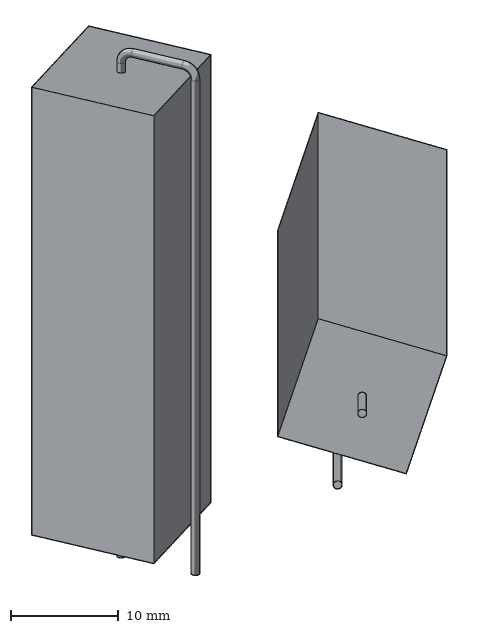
import cadquery as cq
import math

body_width = 12.5
body_height = 48.0

wire_diameter = 0.8
lead_pitch = 7.6
bend_radius = 1.2
lead_length = 4.0
total_height = 54.6

lead_end_z = -lead_length
wire_top_z = total_height - lead_length - wire_diameter / 2
bend_start_z = wire_top_z - bend_radius
bend_offset = bend_radius * math.sqrt(0.5)
bend_mid_z = bend_start_z + bend_offset


def make_body():
    """Upright square block with its underside on the XY plane."""
    return cq.Workplane("XY").box(body_width, body_width, body_height, centered=(True, True, False))


def make_wire():
    """Axial lead that leaves the top, bends over and returns beside the body."""
    first_bend_x = bend_radius
    second_bend_x = lead_pitch - bend_radius
    path = (
        cq.Workplane("XZ")
        .moveTo(0, lead_end_z)
        .lineTo(0, bend_start_z)
        .threePointArc((first_bend_x - bend_offset, bend_mid_z), (first_bend_x, wire_top_z))
        .lineTo(second_bend_x, wire_top_z)
        .threePointArc((second_bend_x + bend_offset, bend_mid_z), (lead_pitch, bend_start_z))
        .lineTo(lead_pitch, lead_end_z)
    )
    section = cq.Workplane("XY", origin=(0, 0, lead_end_z)).circle(wire_diameter / 2)
    return section.sweep(path)


result = make_body().union(make_wire())